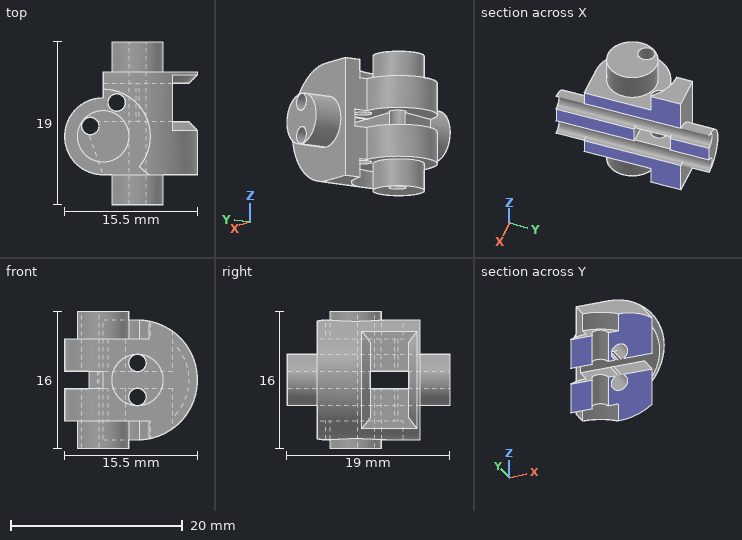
import cadquery as cq
import math

BODY_RADIUS = 7.0
BODY_HALF_LENGTH = 6.0
BODY_FLAT_X = -4.0

PIN_DIAMETER = 6.0
CROSS_PIN_HALF_LENGTH = 9.5
PIVOT_PIN_HALF_HEIGHT = 8.0
PIVOT_X = BODY_FLAT_X
LUG_RADIUS = 4.5
LUG_HALF_HEIGHT = 4.8
PIVOT_Y = LUG_RADIUS - BODY_HALF_LENGTH

RELIEF_RADIUS = 5.5
RELIEF_END_ANGLE = 40.0

SLOT_HALF_HEIGHT = 1.0
SLOT_WIDTH = 4.47
SLOT_CENTRE_Y = 2.44
SLOT_STOP_ANGLE = 19.3

GROOVE_FLOOR_X = 4.1
GROOVE_FLARE = 1.0

HOLE_DIAMETER = 2.0
CROSS_PIN_MIN_WALL = 0.02
CROSS_HOLE_OFFSET_Z = (PIN_DIAMETER - HOLE_DIAMETER) / 2 - CROSS_PIN_MIN_WALL
PIVOT_HOLE_OFFSET_X = -1.5
PIVOT_HOLE_OFFSET_Y = 1.2
BODY_HOLE_OFFSET_X = 1.58
VERTICAL_HOLES = [
    (PIVOT_X + PIVOT_HOLE_OFFSET_X, PIVOT_Y + PIVOT_HOLE_OFFSET_Y),
    (PIVOT_X + BODY_HOLE_OFFSET_X, SLOT_CENTRE_Y),
]

SLOT_Y_MIN = SLOT_CENTRE_Y - SLOT_WIDTH / 2
SLOT_Y_MAX = SLOT_CENTRE_Y + SLOT_WIDTH / 2

CUT_REACH = 2 * BODY_RADIUS


def z_prism(sketch_points, z_min, z_max):
    """Extrude a closed XY polygon between two heights."""
    return cq.Workplane("XY").workplane(offset=z_min).polyline(sketch_points).close().extrude(z_max - z_min)


def z_cylinder(x, y, radius, z_min, z_max):
    """Upright cylinder between two heights."""
    return cq.Workplane("XY").workplane(offset=z_min).center(x, y).circle(radius).extrude(z_max - z_min)


def y_cylinder(x, z, radius, half_length):
    """Cylinder along Y, centred on the XZ plane."""
    return cq.Workplane("XZ").center(x, z).circle(radius).extrude(half_length, both=True)


def make_body():
    """D-shaped block: a flat face at -X and a half-round end at +X."""
    return (
        cq.Workplane("XZ")
        .moveTo(BODY_FLAT_X, -BODY_RADIUS)
        .lineTo(0, -BODY_RADIUS)
        .threePointArc((BODY_RADIUS, 0), (0, BODY_RADIUS))
        .lineTo(BODY_FLAT_X, BODY_RADIUS)
        .close()
        .extrude(BODY_HALF_LENGTH, both=True)
    )


def make_relief(z_min, z_max):
    """Clearance around the pivot pin, ended by a radial wall at the -Y side."""
    end_y = -BODY_HALF_LENGTH
    end_x = PIVOT_X + (PIVOT_Y - end_y) / math.tan(math.radians(RELIEF_END_ANGLE))
    wedge = z_prism([(PIVOT_X, PIVOT_Y), (end_x, end_y), (PIVOT_X, end_y)], z_min, z_max)
    return z_cylinder(PIVOT_X, PIVOT_Y, RELIEF_RADIUS, z_min, z_max).union(wedge)


def make_slot():
    """Slot through the body along X, opening out between the lugs up to a slanted stop wall."""
    stop_start = (BODY_FLAT_X, -BODY_HALF_LENGTH)
    stop_rise = SLOT_Y_MIN - stop_start[1]
    stop_end_x = BODY_FLAT_X - stop_rise * math.tan(math.radians(SLOT_STOP_ANGLE))
    outline = [
        stop_start,
        (stop_end_x, SLOT_Y_MIN),
        (CUT_REACH, SLOT_Y_MIN),
        (CUT_REACH, SLOT_Y_MAX),
        (-CUT_REACH, SLOT_Y_MAX),
        (-CUT_REACH, stop_start[1]),
    ]
    return z_prism(outline, -SLOT_HALF_HEIGHT, SLOT_HALF_HEIGHT)


def make_groove():
    """Flat-floored groove across the round end, its rim flared at 45 degrees about the body axis."""
    flare_start = BODY_RADIUS - GROOVE_FLARE
    ring = (
        cq.Workplane("XY")
        .polyline([
            (0, SLOT_Y_MIN),
            (flare_start, SLOT_Y_MIN),
            (BODY_RADIUS, SLOT_Y_MIN - GROOVE_FLARE),
            (BODY_RADIUS, SLOT_Y_MAX + GROOVE_FLARE),
            (flare_start, SLOT_Y_MAX),
            (0, SLOT_Y_MAX),
        ])
        .close()
        .revolve(360, (0, 0), (0, 1))
    )
    beyond_floor = (
        cq.Workplane("XY")
        .box(CUT_REACH, CUT_REACH, CUT_REACH, centered=(False, True, True))
        .translate((GROOVE_FLOOR_X, 0, 0))
    )
    return ring.intersect(beyond_floor)


body = make_body()
body = body.cut(make_relief(LUG_HALF_HEIGHT, BODY_RADIUS))
body = body.cut(make_relief(-BODY_RADIUS, -LUG_HALF_HEIGHT))

pin_radius = PIN_DIAMETER / 2
body = body.union(z_cylinder(PIVOT_X, PIVOT_Y, LUG_RADIUS, -LUG_HALF_HEIGHT, LUG_HALF_HEIGHT))
body = body.union(z_cylinder(PIVOT_X, PIVOT_Y, pin_radius, -PIVOT_PIN_HALF_HEIGHT, PIVOT_PIN_HALF_HEIGHT))
body = body.union(y_cylinder(0, 0, pin_radius, CROSS_PIN_HALF_LENGTH))

body = body.cut(make_slot()).cut(make_groove())

hole_radius = HOLE_DIAMETER / 2
for hole_x, hole_y in VERTICAL_HOLES:
    body = body.cut(z_cylinder(hole_x, hole_y, hole_radius, -PIVOT_PIN_HALF_HEIGHT, PIVOT_PIN_HALF_HEIGHT))
for hole_z in (-CROSS_HOLE_OFFSET_Z, CROSS_HOLE_OFFSET_Z):
    body = body.cut(y_cylinder(0, hole_z, hole_radius, CROSS_PIN_HALF_LENGTH))

result = body